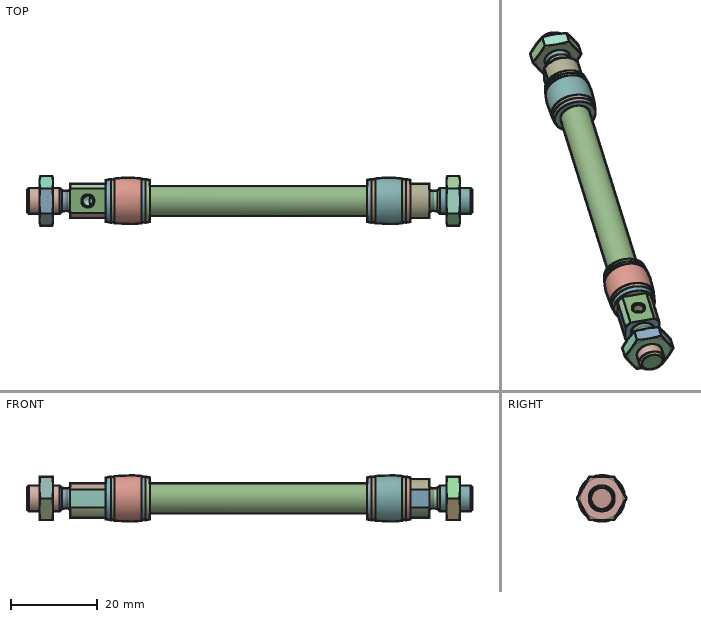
import cadquery as cq
import math

total_length = 103.0
thread_diameter = 6.0
thread_tip_diameter = 4.92
thread_tip_length = 0.5
thread_runout = 0.6
runout_diameter = 5.0
neck_diameter = 4.7
neck_start = 9.1
neck_end = 9.4
neck_root_diameter = 5.4
stud_length = 10.0
thread_length = 7.5

barrel_length = 10.0
barrel_end_diameter = 9.7
barrel_middle_diameter = 10.84
collar_length = 0.2
groove_inset = 1.0
groove_width = 0.9
groove_depth = 0.15
rear_block_length = 8.2
front_block_length = 4.4
block_diameter = 9.0
block_width = 8.0
port_flat_height = 3.5
tube_diameter = 7.0

port_diameter = 2.46
port_mouth_diameter = 3.0
port_depth = 4.0
drill_point_angle = 118.0
air_passage_diameter = 2.0

nut_width = 10.0
nut_thickness = 3.2
nut_offset = 2.9
nut_chamfer_angle = 15.0
nut_face_diameter = 9.8

port_x = stud_length + rear_block_length / 2
collar_start = stud_length + rear_block_length
rear_barrel_start = collar_start + collar_length
rear_barrel_end = rear_barrel_start + barrel_length
front_barrel_end = total_length - stud_length - front_block_length
front_barrel_start = front_barrel_end - barrel_length


def cylinder(start, end, diameter):
    return cq.Workplane("YZ").workplane(offset=start).circle(diameter / 2).extrude(end - start)


def mirrored_to_front(shape):
    """Copy a rear end feature to the front end."""
    return shape.mirror("YZ").translate((total_length, 0, 0))


def tangent_arc_radius(run, rise):
    """Radius of an arc that starts parallel to the axis and moves off it by rise over run."""
    return (run**2 + rise**2) / (2 * rise)


def revolved(outline):
    return outline.close().revolve(360, (0, 0, 0), (1, 0, 0))


def stud():
    """Threaded end with a chamfered tip, a conical runout and a neck flaring into the block."""
    thread_radius = thread_diameter / 2
    runout_radius = runout_diameter / 2
    neck_radius = neck_diameter / 2
    root_radius = neck_root_diameter / 2
    runout_end = thread_length + thread_runout
    runout_arc = tangent_arc_radius(neck_start - runout_end, runout_radius - neck_radius)
    root_arc = tangent_arc_radius(stud_length - neck_end, root_radius - neck_radius)
    return revolved(
        cq.Workplane("XY")
        .lineTo(0, thread_tip_diameter / 2)
        .lineTo(thread_tip_length, thread_radius)
        .lineTo(thread_length, thread_radius)
        .lineTo(runout_end, runout_radius)
        .radiusArc((neck_start, neck_radius), -runout_arc)
        .lineTo(neck_end, neck_radius)
        .radiusArc((stud_length, root_radius), -root_arc)
        .lineTo(stud_length, 0)
    )


def barrel_radius(distance):
    """Radius of the bulging barrel at a distance from its middle, along one circular arc."""
    end_radius = barrel_end_diameter / 2
    rise = barrel_middle_diameter / 2 - end_radius
    arc_radius = tangent_arc_radius(barrel_length / 2, rise)
    return barrel_middle_diameter / 2 - arc_radius + math.sqrt(arc_radius**2 - distance**2)


def barrel(start):
    """Crimped sleeve end: a bulging outline with a shallow round groove near each end."""
    middle = start + barrel_length / 2
    half_length = barrel_length / 2
    groove_outer = half_length - groove_inset
    groove_inner = groove_outer - groove_width
    groove_middle = (groove_outer + groove_inner) / 2

    def on_arc(offset):
        return (middle + offset, barrel_radius(offset))

    def groove_floor(offset):
        return (middle + offset, barrel_radius(offset) - groove_depth)

    ring_middle = (half_length + groove_outer) / 2
    return revolved(
        cq.Workplane("XY")
        .moveTo(middle - half_length, 0)
        .lineTo(*on_arc(-half_length))
        .threePointArc(on_arc(-ring_middle), on_arc(-groove_outer))
        .threePointArc(groove_floor(-groove_middle), on_arc(-groove_inner))
        .threePointArc(on_arc(0), on_arc(groove_inner))
        .threePointArc(groove_floor(groove_middle), on_arc(groove_outer))
        .threePointArc(on_arc(ring_middle), on_arc(half_length))
        .lineTo(middle + half_length, 0)
    )


def flatted_block(start, end):
    """Round block with a flat on each side."""
    flats = cq.Workplane("YZ").workplane(offset=start).rect(block_width, block_diameter).extrude(end - start)
    return cylinder(start, end, block_diameter).intersect(flats)


def port():
    """Drilled hole with a countersunk mouth and a drill point, turned about its vertical axis."""
    hole_radius = port_diameter / 2
    mouth_radius = port_mouth_diameter / 2
    mouth_depth = mouth_radius - hole_radius
    rim_height = port_flat_height - port_depth
    point_depth = hole_radius / math.tan(math.radians(drill_point_angle / 2))
    return (
        cq.Workplane("XZ")
        .moveTo(0, port_flat_height)
        .lineTo(mouth_radius, port_flat_height)
        .lineTo(hole_radius, port_flat_height - mouth_depth)
        .lineTo(hole_radius, rim_height)
        .lineTo(0, rim_height - point_depth)
        .close()
        .revolve(360, (0, 0, 0), (0, 1, 0))
        .translate((port_x, 0, 0))
    )


def make_body():
    above_port_flat = (
        cq.Workplane("XY").workplane(offset=port_flat_height)
        .center(port_x, 0)
        .rect(rear_block_length, block_diameter).extrude(block_diameter)
    )
    body = flatted_block(stud_length, collar_start).cut(above_port_flat)
    body = body.union(stud()).union(mirrored_to_front(stud()))
    body = body.union(cylinder(collar_start, rear_barrel_start, barrel_end_diameter))
    body = body.union(barrel(rear_barrel_start)).union(barrel(front_barrel_start))
    body = body.union(cylinder(rear_barrel_end, front_barrel_start, tube_diameter))
    body = body.union(flatted_block(front_barrel_end, total_length - stud_length))
    air_passage = cylinder(port_x, rear_barrel_start, air_passage_diameter)
    return body.cut(port()).cut(air_passage)


def make_nut(start):
    """Thin hexagon nut with chamfered corners, bored to sit on the thread."""
    corner_diameter = nut_width / math.cos(math.pi / 6)
    face_radius = nut_face_diameter / 2
    corner_radius = corner_diameter / 2
    chamfer = (corner_radius - face_radius) * math.tan(math.radians(nut_chamfer_angle))
    envelope = revolved(
        cq.Workplane("XY")
        .moveTo(start, 0)
        .lineTo(start, face_radius)
        .lineTo(start + chamfer, corner_radius)
        .lineTo(start + nut_thickness - chamfer, corner_radius)
        .lineTo(start + nut_thickness, face_radius)
        .lineTo(start + nut_thickness, 0)
    )
    nut = (
        cq.Workplane("YZ").workplane(offset=start)
        .polygon(6, corner_diameter).circle(thread_diameter / 2).extrude(nut_thickness)
    )
    return nut.intersect(envelope)


body = make_body()
nut_starts = (nut_offset, total_length - nut_offset - nut_thickness)
nuts = [make_nut(start).val() for start in nut_starts]
result = cq.Compound.makeCompound([body.val(), *nuts])